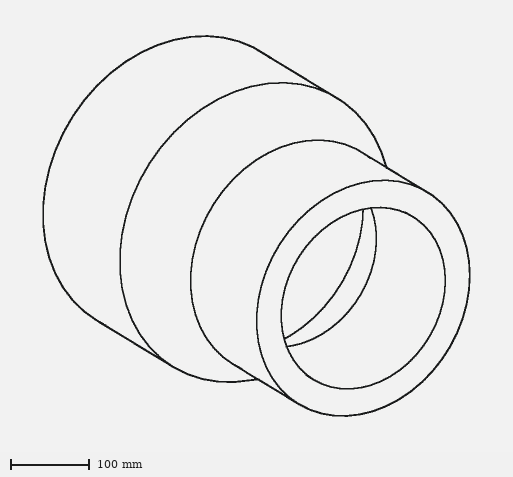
import math

import cadquery as cq

total_length = 460.0
wide_length = 191.5
taper_length = 104.5

wide_outer_diameter = 400.0
wide_bore_diameter = 327.5
narrow_outer_diameter = 315.0
narrow_bore_diameter = 242.5

wall = (wide_outer_diameter - wide_bore_diameter) / 2
taper_angle = math.atan2((wide_outer_diameter - narrow_outer_diameter) / 2, taper_length)
bore_taper_start = wide_length - wall * math.tan(taper_angle / 2)


def stepped_round(wide_diameter, narrow_diameter, taper_start):
    """Solid of revolution: wide cylinder, cone, then narrow cylinder."""
    wide_radius = wide_diameter / 2
    narrow_radius = narrow_diameter / 2
    return (
        cq.Workplane("XY")
        .moveTo(0, 0)
        .lineTo(0, wide_radius)
        .lineTo(taper_start, wide_radius)
        .lineTo(taper_start + taper_length, narrow_radius)
        .lineTo(total_length, narrow_radius)
        .lineTo(total_length, 0)
        .close()
        .revolve(360, (0, 0, 0), (1, 0, 0))
    )


body = stepped_round(wide_outer_diameter, narrow_outer_diameter, wide_length)
bore = stepped_round(wide_bore_diameter, narrow_bore_diameter, bore_taper_start)
result = body.cut(bore)